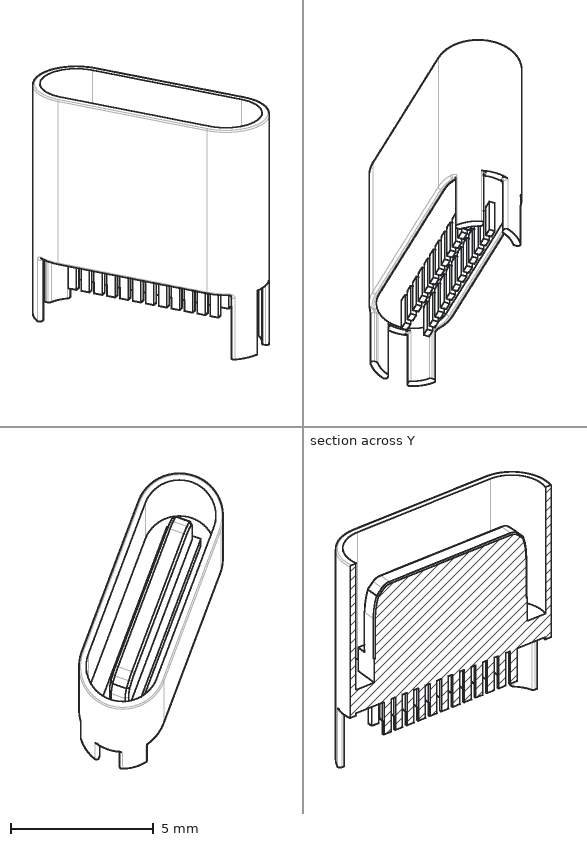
import cadquery as cq

length = 8.85
width = 3.06
height = 8.8
wall = 0.26
end_radius = width / 2
inner_radius = end_radius - wall
end_center_x = length / 2 - end_radius
rim_round = 0.05

leg_length = 2.45
long_notch = 7.345
end_notch = 0.76
root_round = 0.09
edge_round = 0.1

lip_width = 1.01
lip_height = 2 * edge_round

insulator_bottom = leg_length + edge_round
floor_top = 3.54
step_length = 6.69
step_width = 1.265
step_rise = 0.97
step_top = floor_top + step_rise

tongue_thickness = 0.71
tongue_top = 7.43
tongue_chamfer = 0.1
shoulder_half_length = 3.2
shoulder_drop = 0.37
shoulder_bulge_height = 0.885
tip_round = 0.45

pins_per_row = 12
pin_row_span = 5.505
pin_pitch = pin_row_span / (pins_per_row - 1)
pin_width = 0.32
pin_depth = 0.21
pin_row_y = (-0.52, 0.32)
pin_bottom = 1.195

overlap = 0.09


def stadium(radius, bottom, top):
    """Upright stadium prism around the shell's two end axes."""
    return (
        cq.Workplane("XY", origin=(0, 0, bottom))
        .slot2D(2 * (end_center_x + radius), 2 * radius)
        .extrude(top - bottom)
    )


def tube_wall(bottom, top):
    """Upright length of the shell's tube."""
    return stadium(end_radius, bottom, top).cut(stadium(inner_radius, bottom, top))


def notch(x_size, y_size, root_edges):
    """Cutter reaching up to the leg roots, with its two upper edges rounded."""
    cutter = cq.Workplane("XY").box(x_size, y_size, leg_length, centered=(True, True, False))
    return cutter.faces(">Z").edges(root_edges).fillet(root_round)


def make_shell():
    """Tube with a rounded rim and four legs with rounded roots and edges."""
    shell = tube_wall(0, height)
    shell = shell.faces(">Z").edges(cq.selectors.NearestToPointSelector((0, -width, height)))
    shell = shell.fillet(rim_round)
    shell = shell.cut(notch(long_notch, 2 * width, "|Y"))
    shell = shell.cut(notch(2 * length, end_notch, "|X"))

    for radius in (end_radius, inner_radius):
        long_edges = [(0, side * radius, leg_length) for side in (-1, 1)]
        end_edges = [(side * (end_center_x + radius), 0, leg_length) for side in (-1, 1)]
        for point in long_edges + end_edges:
            shell = shell.edges(cq.selectors.NearestToPointSelector(point)).fillet(edge_round)

    lip_zone = cq.Workplane("XY").box(2 * length, lip_width, 2 * height)
    return shell.union(tube_wall(leg_length, leg_length + lip_height).intersect(lip_zone))


def make_insulator():
    """Floor filling the lower tube, with a raised rectangular step."""
    floor = stadium(inner_radius + overlap / 2, insulator_bottom, floor_top)
    step = cq.Workplane("XY", origin=(0, 0, floor_top)).rect(step_length, step_width)
    return floor.union(step.extrude(step_rise))


def make_tongue():
    """Flat tongue with bulged shoulders, rounded 45 degree tip corners and a chamfered outline."""
    base_x = step_length / 2
    shoulder_z = tongue_top - shoulder_drop
    bulge_z = shoulder_z - shoulder_bulge_height
    tip_x = shoulder_half_length - shoulder_drop
    tongue = (
        cq.Workplane("XZ")
        .moveTo(0, step_top)
        .lineTo(base_x, step_top)
        .lineTo(base_x, bulge_z)
        .tangentArcPoint((shoulder_half_length, shoulder_z), relative=False)
        .lineTo(tip_x, tongue_top)
        .lineTo(0, tongue_top)
        .mirrorY()
        .extrude(tongue_thickness / 2, both=True)
    )
    tongue = tongue.faces(">Z").edges("|Y").fillet(tip_round)
    return tongue.faces("<Y or >Y").edges("not <Z").chamfer(tongue_chamfer)


def make_pins():
    """Two rows of straight contact pins below the insulator."""
    row_start = -pin_row_span / 2
    centers = [
        (row_start + index * pin_pitch, row_y)
        for index in range(pins_per_row)
        for row_y in pin_row_y
    ]
    return (
        cq.Workplane("XY", origin=(0, 0, pin_bottom))
        .pushPoints(centers)
        .rect(pin_width, pin_depth)
        .extrude(insulator_bottom + overlap - pin_bottom)
    )


result = make_shell().union(make_insulator()).union(make_tongue()).union(make_pins())